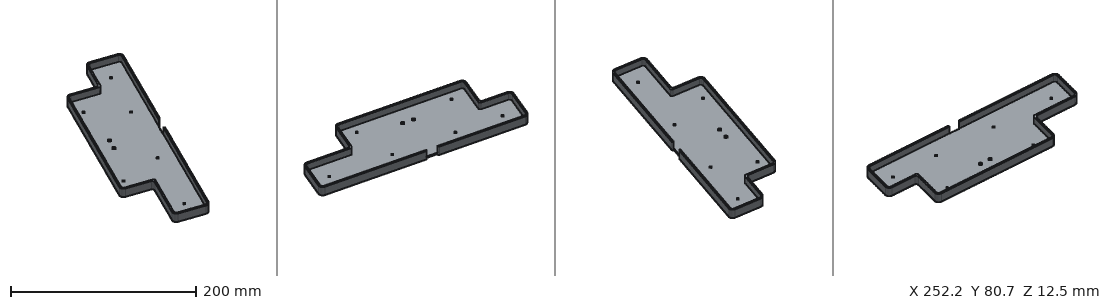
import cadquery as cq

LENGTH = 252.2
HEIGHT = 12.5
FLOOR = 2.5
PITCH = 76.2 / 4
COLUMNS = 13
ROWS = 4
MARGIN = (LENGTH - COLUMNS * PITCH) / 2
WIDTH = ROWS * PITCH + 2 * MARGIN
WALL = 2.0

LEFT_STEP = 2 * PITCH
RIGHT_STEP = 3 * PITCH
STEP_DEPTH = 38.3

OUTER_RADIUS = 5.0
OUTER_STEP_RADIUS = 3.0
INNER_RADIUS = OUTER_RADIUS - WALL
INNER_STEP_RADIUS = 2.0

CABLE_X = MARGIN + 6 * PITCH
CABLE_WIDTH = 13.0
CABLE_EDGE_RADIUS = 1.5
TIE_SPACING = 12.9
TIE_DIAMETER = 3.8
TIE_Y = MARGIN + PITCH

SCREW_DIAMETER = 2.5
SCREW_CELLS = [(1, 3), (4, 3), (8, 3), (12, 3), (3, 0.5), (9, 0.5)]


def stepped_block(inset, bottom, corner_radius, step_radius):
    """T-shaped block up to the rim, its outline pulled in by inset."""
    left = inset
    right = LENGTH - inset
    front = inset
    rear = WIDTH - inset
    step_left = LEFT_STEP + inset
    step_right = LENGTH - RIGHT_STEP - inset
    step_y = STEP_DEPTH + inset
    block = (
        cq.Workplane("XY", origin=(0, 0, bottom))
        .polyline([
            (left, rear), (left, step_y), (step_left, step_y), (step_left, front),
            (step_right, front), (step_right, step_y), (right, step_y), (right, rear),
        ])
        .close()
        .extrude(HEIGHT - bottom)
    )
    step_corners = [(step_left, step_y), (step_right, step_y)]
    for x, y in step_corners:
        corner = cq.selectors.NearestToPointSelector((x, y, (bottom + HEIGHT) / 2))
        block = block.edges(corner).fillet(step_radius)
    tips = [
        (left, rear), (left, step_y), (step_left, front),
        (step_right, front), (right, step_y), (right, rear),
    ]
    for x, y in tips:
        corner = cq.selectors.NearestToPointSelector((x, y, (bottom + HEIGHT) / 2))
        block = block.edges(corner).fillet(corner_radius)
    return block


def cable_opening():
    """Full-height cutter through the rear wall that flares at the outer face."""
    half = CABLE_WIDTH / 2
    r = CABLE_EDGE_RADIUS
    return (
        cq.Workplane("XY")
        .moveTo(CABLE_X - half, WIDTH - WALL)
        .lineTo(CABLE_X + half, WIDTH - WALL)
        .lineTo(CABLE_X + half, WIDTH - r)
        .radiusArc((CABLE_X + half + r, WIDTH), r)
        .lineTo(CABLE_X - half - r, WIDTH)
        .radiusArc((CABLE_X - half, WIDTH - r), r)
        .close()
        .extrude(HEIGHT)
    )


def floor_holes(points, diameter):
    """Cutters for round through holes in the floor."""
    return cq.Workplane("XY").pushPoints(points).circle(diameter / 2).extrude(FLOOR)


screw_points = [(MARGIN + column * PITCH, MARGIN + row * PITCH) for column, row in SCREW_CELLS]
tie_points = [(CABLE_X + side * TIE_SPACING / 2, TIE_Y) for side in (-1, 1)]

outside = stepped_block(0, 0, OUTER_RADIUS, OUTER_STEP_RADIUS)
cavity = stepped_block(WALL, FLOOR, INNER_RADIUS, INNER_STEP_RADIUS)

result = (
    outside.cut(cavity)
    .cut(cable_opening())
    .cut(floor_holes(screw_points, SCREW_DIAMETER))
    .cut(floor_holes(tie_points, TIE_DIAMETER))
)